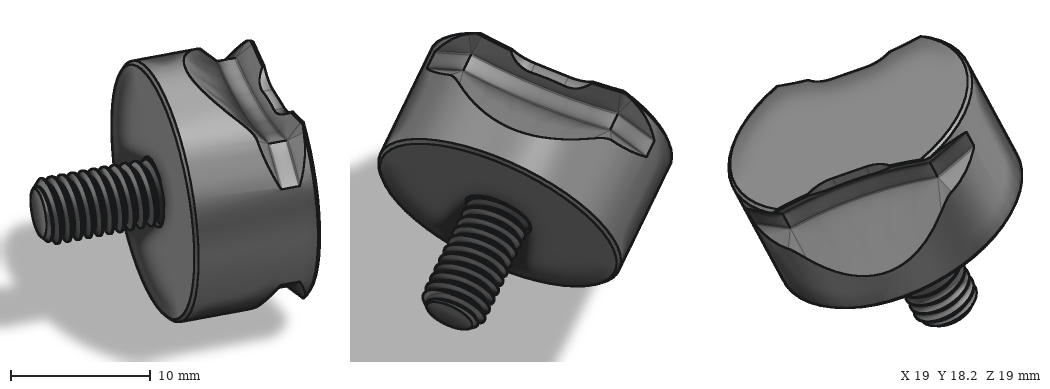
import cadquery as cq
import math

HEAD_RADIUS = 9.52
HEAD_LENGTH = 9.52
RIM_CHAMFER = 0.25

GROOVE_Y = 7.5
GROOVE_FLOOR_WIDTH = 1.41
WALL_ANGLE = 45.0
GROOVE_FILLET = 0.17
GROOVE_FLARE = 4.95
LIP_LAND = 0.15
FLOOR_CENTRE_Z = 5.41
CORNER_X = 5.75
CORNER_Z = 6.23
SIDE_FLOOR_ANGLE = 37.0
SIDE_FLOOR_LENGTH = 7.62

NOTCH_Z = 5.98
NOTCH_FLAT_HALF = 1.3
NOTCH_RADIUS = 2.5

STUD_PROJECTION = 8.65
THREAD_RADIUS = 2.42
ROOT_RADIUS = 1.9
THREAD_PITCH = 0.795
CREST_FLAT = THREAD_PITCH / 8
FLANK_ANGLE = 30.0
TIP_RADIUS = 1.8
CREST_OFFSET = 0.63
RIDGE_SINK = 0.04
OVERRUN = 2 * THREAD_PITCH
ENVELOPE_CLEARANCE = 0.2

SOCKET_RADIUS = 2.57
SOCKET_DEPTH = 2.38
STUD_LENGTH = SOCKET_DEPTH + STUD_PROJECTION


def groove_path():
    """Floor line of the top groove at the groove mid-plane, running toward +X."""
    drop = math.radians(SIDE_FLOOR_ANGLE)
    end_x = CORNER_X + SIDE_FLOOR_LENGTH * math.cos(drop)
    end_z = CORNER_Z - SIDE_FLOOR_LENGTH * math.sin(drop)
    return (
        cq.Workplane("XZ", origin=(0, GROOVE_Y, 0))
        .moveTo(-end_x, end_z)
        .lineTo(-CORNER_X, CORNER_Z)
        .threePointArc((0, FLOOR_CENTRE_Z), (CORNER_X, CORNER_Z))
        .lineTo(end_x, end_z)
        .wire()
    )


def groove_cutter():
    """Flared channel, stepped out flat above the rear lip.

    It swings round the two corners of its path, so they get conical walls.
    """
    path = groove_path()
    start = path.val().startPoint()
    section_plane = cq.Plane(origin=start, xDir=(0, 1, 0), normal=path.val().tangentAt(0))
    half = GROOVE_FLOOR_WIDTH / 2
    wall_angle = math.radians(WALL_ANGLE)
    tangent = GROOVE_FILLET * math.tan(wall_angle / 2)
    flat = half - tangent
    arc_mid = (
        flat + GROOVE_FILLET * math.sin(wall_angle / 2),
        GROOVE_FILLET * (1 - math.cos(wall_angle / 2)),
    )
    wall_foot = (half + tangent * math.cos(wall_angle), tangent * math.sin(wall_angle))
    land_height = HEAD_LENGTH - LIP_LAND - GROOVE_Y - half
    section = (
        cq.Workplane(section_plane)
        .moveTo(-flat, 0)
        .lineTo(flat, 0)
        .threePointArc(arc_mid, wall_foot)
        .lineTo(half + land_height, land_height)
        .lineTo(half + GROOVE_FLARE, land_height)
        .lineTo(half + GROOVE_FLARE, GROOVE_FLARE)
        .lineTo(-half - GROOVE_FLARE, GROOVE_FLARE)
        .lineTo(-wall_foot[0], wall_foot[1])
        .threePointArc((-arc_mid[0], arc_mid[1]), (-flat, 0))
        .close()
    )
    return section.sweep(path, transition="round")


def notch_cutter():
    """Dished channel along Y through the rear lip, open upward."""
    half_width = NOTCH_FLAT_HALF + NOTCH_RADIUS
    eighth_turn = math.pi / 4
    arc_x = NOTCH_FLAT_HALF + NOTCH_RADIUS * math.sin(eighth_turn)
    arc_z = NOTCH_Z + NOTCH_RADIUS * (1 - math.cos(eighth_turn))
    side_z = NOTCH_Z + NOTCH_RADIUS
    return (
        cq.Workplane("XZ", origin=(0, HEAD_LENGTH, 0))
        .moveTo(-NOTCH_FLAT_HALF, NOTCH_Z)
        .lineTo(NOTCH_FLAT_HALF, NOTCH_Z)
        .threePointArc((arc_x, arc_z), (half_width, side_z))
        .lineTo(half_width, HEAD_RADIUS)
        .lineTo(-half_width, HEAD_RADIUS)
        .lineTo(-half_width, side_z)
        .threePointArc((-arc_x, arc_z), (-NOTCH_FLAT_HALF, NOTCH_Z))
        .close()
        .extrude(HEAD_LENGTH - GROOVE_Y)
    )


def make_head():
    """Chamfered cylinder with a groove and notch on top and bottom, and a blind socket in front."""
    head = (
        cq.Workplane("XZ")
        .circle(HEAD_RADIUS)
        .extrude(-HEAD_LENGTH)
        .edges()
        .chamfer(RIM_CHAMFER)
    )
    for cutter in (groove_cutter(), notch_cutter()):
        head = head.cut(cutter)
        head = head.cut(cutter.mirror("XY"))
    socket = cq.Workplane("XZ").circle(SOCKET_RADIUS).extrude(-SOCKET_DEPTH)
    return head.cut(socket)


def thread_ridge():
    """Right-hand helical ridge about local Z, from below the socket bottom to past the tip."""
    foot_radius = ROOT_RADIUS - RIDGE_SINK
    crest_half = CREST_FLAT / 2
    foot_half = crest_half + (THREAD_RADIUS - foot_radius) * math.tan(math.radians(FLANK_ANGLE))
    lowest_crest = (SOCKET_DEPTH + CREST_OFFSET) % THREAD_PITCH - OVERRUN
    helix = cq.Wire.makeHelix(THREAD_PITCH, STUD_LENGTH + 2 * OVERRUN, foot_radius)
    section = (
        cq.Workplane("XZ")
        .moveTo(foot_radius, -foot_half)
        .lineTo(THREAD_RADIUS, -crest_half)
        .lineTo(THREAD_RADIUS, crest_half)
        .lineTo(foot_radius, foot_half)
        .close()
    )
    return section.sweep(cq.Workplane(helix), isFrenet=True).translate((0, 0, lowest_crest))


def stud_envelope():
    """Stud length with a 45 degree point, standing clear of the thread crest except at the tip."""
    radius = THREAD_RADIUS + ENVELOPE_CLEARANCE
    bar = cq.Workplane("XY").circle(radius).extrude(STUD_LENGTH)
    return bar.faces(">Z").chamfer(radius - TIP_RADIUS)


def make_stud():
    """Overlong threaded rod up local Z, trimmed to the stud and turned to point along -Y."""
    core_start = cq.Workplane("XY", origin=(0, 0, -2 * OVERRUN))
    core = core_start.circle(ROOT_RADIUS).extrude(STUD_LENGTH + 4 * OVERRUN)
    rod = core.union(thread_ridge(), clean=False)
    stud = rod.intersect(stud_envelope(), clean=False)
    return stud.rotate((0, 0, 0), (1, 0, 0), 90).translate((0, SOCKET_DEPTH, 0))


head = make_head()
stud = make_stud()

result = cq.Compound.makeCompound([head.solids().val(), stud.solids().val()])